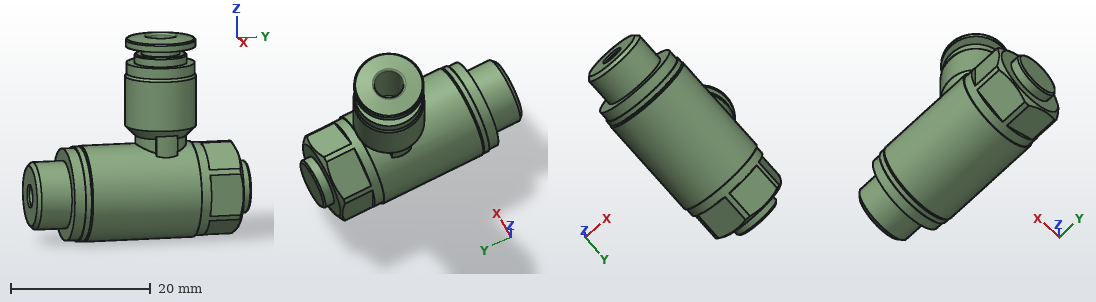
import cadquery as cq
import math


cap_end = 12.5
hex_end = 10.9
hex_base = 5.85
body_back = 4.4
body_front = -11.6
thread_length = 5.0
thread_end = -19.25
disc_front = thread_end + thread_length
ring_front = -12.65
groove_width = 0.25
ring_back = body_front - groove_width

body_radius = 6.9
collar_radius = 6.7
cap_radius = 3.75
cap_chamfer = 0.25
groove_back_radius = 6.1
groove_front_radius = groove_back_radius + groove_width
ring_radius = 6.82
disc_radius = 6.62
thread_diameter = 9.728
thread_radius = thread_diameter / 2
thread_chamfer = 0.55

hex_across_flats = 12.0
hex_face_radius = 5.7
hex_cone_angle = 30.0
hex_sides = 6
hex_half_angle = 180 / hex_sides

stem_top = 22.5
flange_top = 21.9
flange_bottom = 21.0
neck_bottom = 19.9
guide_bottom = 18.6
sleeve_bottom = 17.05
shell_top = 16.65
shell_bottom = 9.5

flange_radius = 5.0
flange_edge_chamfer = 0.2
neck_radius = 2.75
neck_fillet = 0.4
guide_radius = 3.75
guide_chamfer = 0.2
sleeve_radius = 4.9
shell_radius = 5.1
root_radius = 3.65
root_top = shell_bottom - (shell_radius - root_radius)

pad_radius = 4.18
pad_width = 3.1
pad_top = root_top + (pad_radius - root_radius)

tube_radius = 2.1
tube_mouth_fillet = 0.3
tube_mouth_radius = tube_radius + tube_mouth_fillet
tube_depth = 9.0
stem_bore_radius = 1.5
barrel_bore_radius = 1.55
barrel_bore_mouth_radius = 1.65
barrel_bore_mouth_depth = 0.3
barrel_bore_end = 0.1


def make_barrel():
    """Turned barrel, without the hexagon, revolved about Y."""
    profile = (
        cq.Workplane("XY")
        .moveTo(0, cap_end)
        .lineTo(cap_radius - cap_chamfer, cap_end)
        .lineTo(cap_radius, cap_end - cap_chamfer)
        .lineTo(cap_radius, hex_base)
        .lineTo(collar_radius, hex_base)
        .lineTo(collar_radius, body_back)
        .lineTo(body_radius, body_back)
        .lineTo(body_radius, body_front)
        .lineTo(groove_back_radius, body_front)
        .lineTo(groove_front_radius, ring_back)
        .lineTo(ring_radius, ring_back)
        .lineTo(ring_radius, ring_front)
        .lineTo(disc_radius, ring_front)
        .lineTo(disc_radius, disc_front)
        .lineTo(thread_radius, disc_front)
        .lineTo(thread_radius, thread_end + thread_chamfer)
        .lineTo(thread_radius - thread_chamfer, thread_end)
        .lineTo(0, thread_end)
        .close()
    )
    return profile.revolve(360, (0, 0, 0), (0, 1, 0))


def make_hexagon():
    """Hexagon with flats facing +X and -X, trimmed by a coned round blank."""
    across_corners = hex_across_flats / math.cos(math.radians(hex_half_angle))
    prism = (
        cq.Workplane("XZ", origin=(0, hex_end, 0))
        .transformed(rotate=(0, 0, hex_half_angle))
        .polygon(hex_sides, across_corners)
        .extrude(hex_end - hex_base)
    )
    cone_length = (collar_radius - hex_face_radius) * math.tan(math.radians(hex_cone_angle))
    blank = (
        cq.Workplane("XY")
        .moveTo(0, hex_end)
        .lineTo(hex_face_radius, hex_end)
        .lineTo(collar_radius, hex_end - cone_length)
        .lineTo(collar_radius, hex_base)
        .lineTo(0, hex_base)
        .close()
        .revolve(360, (0, 0, 0), (0, 1, 0))
    )
    return prism.intersect(blank)


def make_stem():
    """Turned tube stem with its release button, revolved about Z."""
    profile = (
        cq.Workplane("XZ")
        .moveTo(0, stem_top)
        .lineTo(tube_mouth_radius, stem_top)
        .lineTo(flange_radius - flange_edge_chamfer, flange_top + flange_edge_chamfer)
        .lineTo(flange_radius, flange_top)
        .lineTo(flange_radius, flange_bottom)
        .lineTo(neck_radius + neck_fillet, flange_bottom)
        .radiusArc((neck_radius, flange_bottom - neck_fillet), -neck_fillet)
        .lineTo(neck_radius, neck_bottom)
        .lineTo(guide_radius - guide_chamfer, neck_bottom)
        .lineTo(guide_radius, neck_bottom - guide_chamfer)
        .lineTo(guide_radius, guide_bottom)
        .lineTo(sleeve_radius, guide_bottom)
        .lineTo(sleeve_radius, sleeve_bottom)
        .lineTo(shell_radius, shell_top)
        .lineTo(shell_radius, shell_bottom)
        .lineTo(root_radius, root_top)
        .lineTo(root_radius, 0)
        .lineTo(0, 0)
        .close()
    )
    return profile.revolve(360, (0, 0, 0), (0, 1, 0))


def make_pads():
    """Two round-faced key pads on +X and -X, reaching up to the stem cone."""
    disc = cq.Workplane("XY").circle(pad_radius).extrude(pad_top)
    slab = cq.Workplane("XY").rect(2 * pad_radius, pad_width).extrude(pad_top)
    return disc.intersect(slab)


def make_stem_passage():
    """Tube socket with a rounded mouth, stepping down to the stem bore."""
    profile = (
        cq.Workplane("XZ")
        .moveTo(0, stem_top)
        .lineTo(tube_mouth_radius, stem_top)
        .radiusArc((tube_radius, stem_top - tube_mouth_fillet), -tube_mouth_fillet)
        .lineTo(tube_radius, stem_top - tube_depth)
        .lineTo(stem_bore_radius, stem_top - tube_depth)
        .lineTo(stem_bore_radius, 0)
        .lineTo(0, 0)
        .close()
    )
    return profile.revolve(360, (0, 0, 0), (0, 1, 0))


def make_barrel_passage():
    """Bore from the threaded end to just past the stem axis, closed by a round bottom."""
    arc_offset = barrel_bore_radius * math.sqrt(0.5)
    bottom = barrel_bore_end + barrel_bore_radius
    profile = (
        cq.Workplane("XY")
        .moveTo(0, thread_end)
        .lineTo(barrel_bore_mouth_radius, thread_end)
        .lineTo(barrel_bore_radius, thread_end + barrel_bore_mouth_depth)
        .lineTo(barrel_bore_radius, barrel_bore_end)
        .threePointArc((arc_offset, barrel_bore_end + arc_offset), (0, bottom))
        .close()
    )
    return profile.revolve(360, (0, 0, 0), (0, 1, 0))


fitting = make_barrel().union(make_hexagon()).union(make_stem()).union(make_pads())
result = fitting.cut(make_stem_passage()).cut(make_barrel_passage())